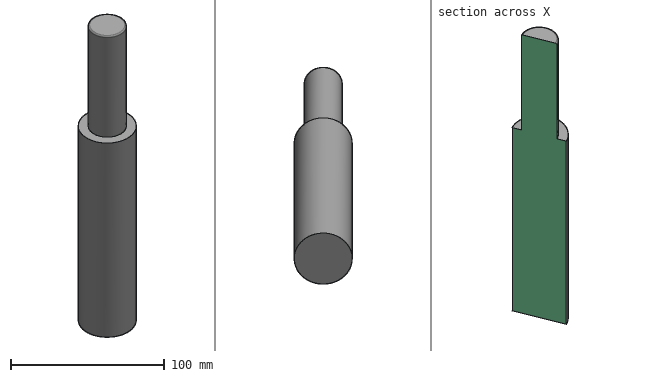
import cadquery as cq

TOTAL_LENGTH = 240.0
BODY_DIAMETER = 38.0
BODY_LENGTH = 158.0
SHANK_DIAMETER = 25.0
END_FILLET_RADIUS = 1.0

SHANK_LENGTH = TOTAL_LENGTH - BODY_LENGTH


def make_body():
    """Large plain cylinder standing on the XY plane."""
    return cq.Workplane("XY").circle(BODY_DIAMETER / 2).extrude(BODY_LENGTH)


def make_shank():
    """Slimmer coaxial cylinder on top of the body, rounded at its free end."""
    shank = (
        cq.Workplane("XY")
        .workplane(offset=BODY_LENGTH)
        .circle(SHANK_DIAMETER / 2)
        .extrude(SHANK_LENGTH)
    )
    return shank.faces(">Z").edges().fillet(END_FILLET_RADIUS)


result = make_body().union(make_shank())